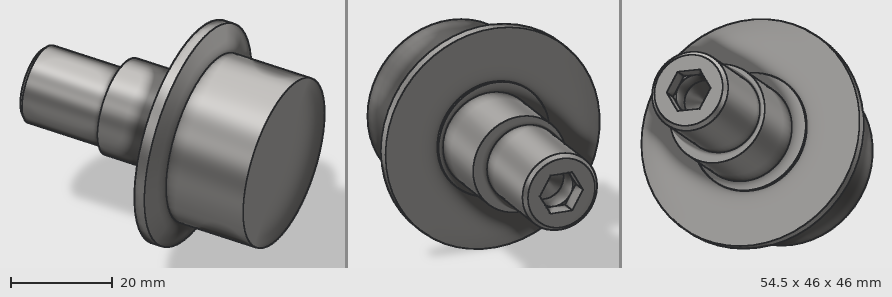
import cadquery as cq
import math

length = 54.5

stud_diameter = 16.0
stud_chamfer = 0.8
stud_end = 18.0

collar_diameter = 20.0
collar_offset = 1.0
collar_end = 32.6

washer_diameter = 23.8
washer_end = 33.3

flange_diameter = 46.0
flange_end = 35.55
roller_diameter = 35.0
taper_end = 37.5

hex_across_flats = 8.0
hex_depth = 3.5
drill_depth = 8.0
drill_point_angle = 120.0


def cylinder(start, end, diameter, y=0.0):
    """Solid cylinder along X between two stations."""
    return cq.Workplane("YZ", origin=(start, y, 0)).circle(diameter / 2).extrude(end - start)


def flanged_roller():
    """Roller with a rim that tapers down to the tread."""
    profile = [
        (washer_end, 0),
        (washer_end, flange_diameter / 2),
        (flange_end, flange_diameter / 2),
        (taper_end, roller_diameter / 2),
        (length, roller_diameter / 2),
        (length, 0),
    ]
    return cq.Workplane("XY").polyline(profile).close().revolve(360, (0, 0, 0), (1, 0, 0))


def key_socket():
    """Hexagonal prism with corners on the Y axis, opening into a drilled hole that ends in a cone."""
    corner_diameter = hex_across_flats / math.cos(math.radians(30))
    prism = cq.Workplane("YZ").polygon(6, corner_diameter).extrude(hex_depth)
    radius = hex_across_flats / 2
    cone_depth = radius / math.tan(math.radians(drill_point_angle / 2))
    profile = [
        (0, 0),
        (0, radius),
        (drill_depth, radius),
        (drill_depth + cone_depth, 0),
    ]
    drilled_hole = cq.Workplane("XY").polyline(profile).close().revolve(360, (0, 0, 0), (1, 0, 0))
    return prism.union(drilled_hole)


stud = cylinder(0, stud_end, stud_diameter).faces("<X").chamfer(stud_chamfer)
collar = cylinder(stud_end, collar_end, collar_diameter, collar_offset)
washer = cylinder(collar_end, washer_end, washer_diameter)

result = stud.union(collar).union(washer).union(flanged_roller()).cut(key_socket())